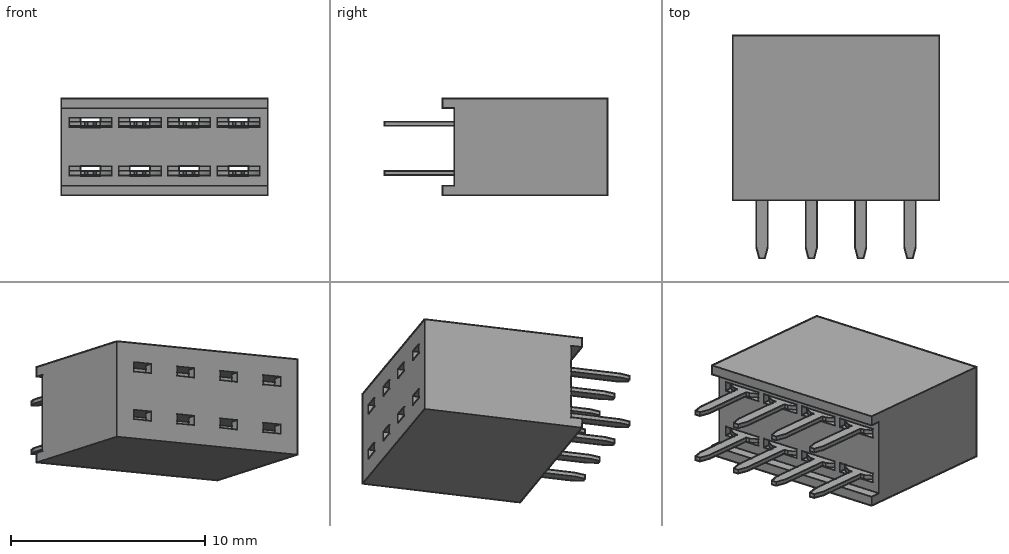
import cadquery as cq
import math

WIDTH = 10.66
HEIGHT = 5.0
OVERALL_LENGTH = 11.5
TAIL_PROJECTION = 2.99

LIP_THICKNESS = 0.51
LIP_DEPTH = 0.6

COLUMNS = 4
PITCH = 2.54
SLOT_ROW_PITCH = 2.5
CONTACT_DROP = 0.08

POCKET_WIDTH = 2.2
SLOT_HEIGHT = 0.5
PASSAGE_WIDTH = 1.02
END_WALL = LIP_DEPTH

CONTACT_THICKNESS = 0.22
SHOULDER_WIDTH = 0.6
SHOULDER_DEPTH = 0.4
SHOULDER_RADIUS = 1.6
TAIL_WIDTH = 0.6
TIP_WIDTH = 0.3
TIP_LENGTH = 0.58

HOUSING_LENGTH = OVERALL_LENGTH - TAIL_PROJECTION
FACE_Y = LIP_DEPTH
POCKET_END_Y = HOUSING_LENGTH - END_WALL
TAIL_END_Y = -TAIL_PROJECTION
TAPER_START_Y = TAIL_END_Y + TIP_LENGTH
COLUMN_XS = [(i - (COLUMNS - 1) / 2) * PITCH for i in range(COLUMNS)]
ROW_SIDES = (-1, 1)


def block(x_size, y_start, y_end, z_size, x=0.0, z=0.0):
    """Box centred on x and z that runs from y_start to y_end."""
    length = y_end - y_start
    return cq.Workplane("XY").box(x_size, length, z_size).translate((x, y_start + length / 2, z))


def make_housing():
    """Block with a recessed pin face and a stepped slot through it for each contact."""
    body = block(WIDTH, 0, HOUSING_LENGTH, HEIGHT)
    body = body.cut(block(WIDTH, 0, FACE_Y, HEIGHT - 2 * LIP_THICKNESS))
    for side in ROW_SIDES:
        z = side * SLOT_ROW_PITCH / 2
        for x in COLUMN_XS:
            body = body.cut(block(POCKET_WIDTH, FACE_Y, POCKET_END_Y, SLOT_HEIGHT, x, z))
            body = body.cut(block(PASSAGE_WIDTH, FACE_Y, HOUSING_LENGTH, SLOT_HEIGHT, x, z))
    return body


def make_contact(x, z):
    """Flat contact: a head with arched shoulders filling the pocket width, and a pointed tail."""
    half_head = POCKET_WIDTH / 2
    half_flat = half_head - SHOULDER_WIDTH
    half_tail = TAIL_WIDTH / 2
    half_tip = TIP_WIDTH / 2
    shoulder_y = FACE_Y + SHOULDER_DEPTH

    chord = math.hypot(SHOULDER_WIDTH, SHOULDER_DEPTH)
    bulge = SHOULDER_RADIUS - math.sqrt(SHOULDER_RADIUS**2 - (chord / 2) ** 2)
    arc_x = half_head - SHOULDER_WIDTH / 2 + bulge * SHOULDER_DEPTH / chord
    arc_y = FACE_Y + SHOULDER_DEPTH / 2 - bulge * SHOULDER_WIDTH / chord

    return (
        cq.Workplane("XY")
        .moveTo(-half_head, POCKET_END_Y)
        .lineTo(-half_head, shoulder_y)
        .threePointArc((-arc_x, arc_y), (-half_flat, FACE_Y))
        .lineTo(-half_tail, FACE_Y)
        .lineTo(-half_tail, TAPER_START_Y)
        .lineTo(-half_tip, TAIL_END_Y)
        .lineTo(half_tip, TAIL_END_Y)
        .lineTo(half_tail, TAPER_START_Y)
        .lineTo(half_tail, FACE_Y)
        .lineTo(half_flat, FACE_Y)
        .threePointArc((arc_x, arc_y), (half_head, shoulder_y))
        .lineTo(half_head, POCKET_END_Y)
        .close()
        .extrude(CONTACT_THICKNESS / 2, both=True)
        .translate((x, 0, z))
    )


housing = make_housing()

contacts = []
for row_side in ROW_SIDES:
    contact_z = row_side * PITCH / 2 - CONTACT_DROP
    for column_x in COLUMN_XS:
        contacts.append(make_contact(column_x, contact_z).val())

result = cq.Compound.makeCompound([housing.val(), *contacts])